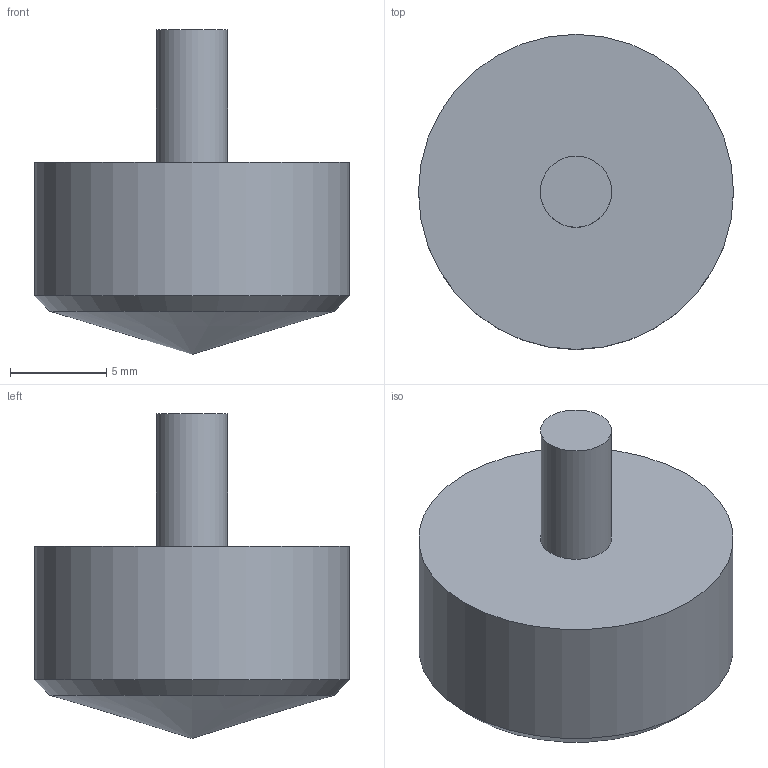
import cadquery as cq

total_height = 16.9
body_diameter = 16.4
stem_diameter = 3.7
stem_length = 6.9
chamfer_size = 0.8
cone_height = 2.25

body_radius = body_diameter / 2
stem_radius = stem_diameter / 2
cone_radius = body_radius - chamfer_size
body_bottom = cone_height + chamfer_size
body_top = total_height - stem_length


def turned_profile():
    """Half section in the XZ plane, from the tip up to the top of the stem."""
    return (
        cq.Workplane("XZ")
        .moveTo(0, 0)
        .lineTo(cone_radius, cone_height)
        .lineTo(body_radius, body_bottom)
        .lineTo(body_radius, body_top)
        .lineTo(stem_radius, body_top)
        .lineTo(stem_radius, total_height)
        .lineTo(0, total_height)
        .close()
    )


result = turned_profile().revolve(360, (0, 0, 0), (0, 1, 0))